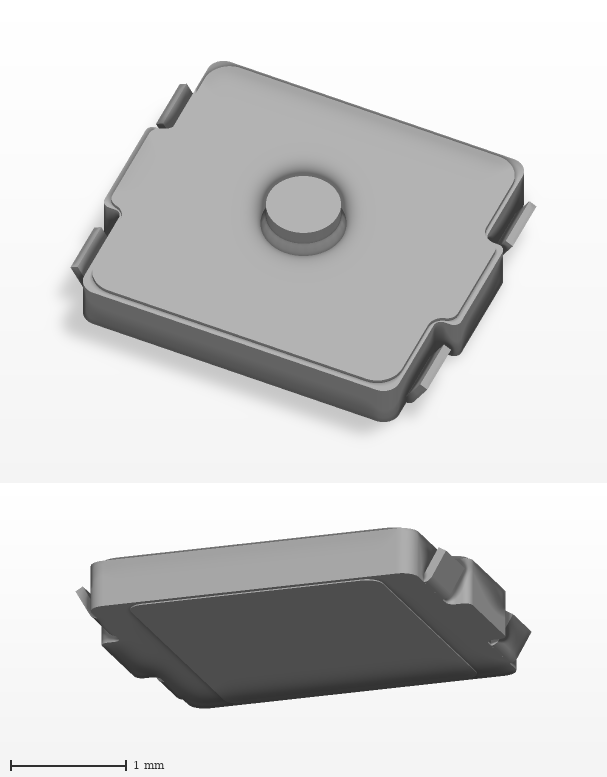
import cadquery as cq
import math

LENGTH_OVER_TABS = 3.4
HOUSING_LENGTH = 3.0
HOUSING_DEPTH = 2.9
HOUSING_HEIGHT = 0.415
HOUSING_CORNER_RADIUS = 0.15
TAB_FLAT_WIDTH = 0.865
TAB_TIP_RADIUS = 0.07
TAB_ROOT_RADIUS = 0.068
TAB_TURN = 90.0

COVER_LENGTH_OVER_TABS = 3.29
COVER_LENGTH = 2.93
COVER_DEPTH = 2.795
COVER_TOP = 0.45
COVER_CORNER_RADIUS = 0.238
COVER_TAB_FLAT_WIDTH = 0.77
COVER_TIP_RADIUS = 0.102
COVER_ROOT_RADIUS = 0.135
COVER_STEP = (COVER_LENGTH_OVER_TABS - COVER_LENGTH) / 2
COVER_TURN = math.degrees(math.acos(1 - COVER_STEP / (COVER_TIP_RADIUS + COVER_ROOT_RADIUS)))

PAD_LENGTH = 2.312
PAD_DEPTH = COVER_DEPTH
PAD_THICKNESS = 0.01
PAD_CORNER_RADIUS = 0.15

BUTTON_RADIUS = 0.325
BUTTON_BASE_RADIUS = 0.375
BUTTON_FLARE_TOP = 0.558
BUTTON_TOP = 0.7

LEAD_WIDTH = 0.5
LEAD_OFFSET = 0.9
LEAD_REACH = 1.7
LEAD_THICKNESS = 0.078
LEAD_ANGLE = 60.0
LEAD_TIP_HEIGHT = 0.27
LEAD_BEND_RADIUS = 0.095
LEAD_INNER_END = 1.36

SHORTEST_EDGE = 3.4e-05


def stepped_plate(over_tabs, length, depth, corner_radius, tab_flat, tip_radius, root_radius, turn,
                  bottom, top):
    """Rounded rectangle whose two X sides carry a central tab with S-curved flanks."""
    half_depth = depth / 2
    tab_x = over_tabs / 2
    side_x = length / 2
    flat_y = tab_flat / 2
    angle = math.radians(turn)
    tip_center_x = tab_x - tip_radius
    tip_end = (tip_center_x + tip_radius * math.cos(angle), flat_y + tip_radius * math.sin(angle))
    tip_mid = (tip_center_x + tip_radius * math.cos(angle / 2), flat_y + tip_radius * math.sin(angle / 2))

    root_center_x = side_x + root_radius
    root_start_x = root_center_x - root_radius * math.cos(angle)
    flank_run = tip_end[0] - root_start_x
    root_start_y = tip_end[1] + flank_run / math.tan(angle)
    root_end_y = root_start_y + root_radius * math.sin(angle)
    root_mid = (root_center_x - root_radius * math.cos(angle / 2),
                root_end_y - root_radius * math.sin(angle / 2))

    outline = (
        cq.Workplane("XY", origin=(0, 0, bottom))
        .lineTo(tab_x, 0)
        .lineTo(tab_x, flat_y)
        .threePointArc(tip_mid, tip_end)
    )
    if flank_run > SHORTEST_EDGE:
        outline = outline.lineTo(root_start_x, root_start_y)
    quarter = (
        outline.threePointArc(root_mid, (side_x, root_end_y))
        .lineTo(side_x, half_depth - corner_radius)
        .tangentArcPoint((side_x - corner_radius, half_depth), relative=False)
        .lineTo(0, half_depth)
        .close()
        .extrude(top - bottom)
    )
    right_half = quarter.union(quarter.mirror("XZ"))
    return right_half.union(right_half.mirror("YZ")).clean()


def lead(side, center_y):
    """Strip rising outward at a slope from a bend at the housing's underside."""
    angle = math.radians(LEAD_ANGLE)
    inner_radius = LEAD_BEND_RADIUS - LEAD_THICKNESS
    bend_height = LEAD_BEND_RADIUS * (1 - math.cos(angle))
    bend_x = LEAD_REACH - (LEAD_TIP_HEIGHT - bend_height) / math.tan(angle)
    center_x = bend_x - LEAD_BEND_RADIUS * math.sin(angle)

    def bend_point(radius, turn):
        return (center_x + radius * math.sin(turn), LEAD_BEND_RADIUS - radius * math.cos(turn))

    tip_top = (LEAD_REACH - LEAD_THICKNESS * math.sin(angle),
               LEAD_TIP_HEIGHT + LEAD_THICKNESS * math.cos(angle))
    strip = (
        cq.Workplane("XZ")
        .moveTo(LEAD_INNER_END, 0)
        .lineTo(center_x, 0)
        .threePointArc(bend_point(LEAD_BEND_RADIUS, angle / 2), bend_point(LEAD_BEND_RADIUS, angle))
        .lineTo(LEAD_REACH, LEAD_TIP_HEIGHT)
        .lineTo(*tip_top)
        .lineTo(*bend_point(inner_radius, angle))
        .threePointArc(bend_point(inner_radius, angle / 2), bend_point(inner_radius, 0))
        .lineTo(LEAD_INNER_END, LEAD_THICKNESS)
        .close()
        .extrude(LEAD_WIDTH / 2, both=True)
    )
    if side < 0:
        strip = strip.mirror("YZ")
    return strip.translate((0, center_y, 0))


def button():
    """Revolved button standing on the cover."""
    return (
        cq.Workplane("XZ")
        .moveTo(0, HOUSING_HEIGHT)
        .lineTo(BUTTON_BASE_RADIUS, HOUSING_HEIGHT)
        .lineTo(BUTTON_BASE_RADIUS, COVER_TOP)
        .lineTo(BUTTON_RADIUS, BUTTON_FLARE_TOP)
        .lineTo(BUTTON_RADIUS, BUTTON_TOP)
        .lineTo(0, BUTTON_TOP)
        .close()
        .revolve(360, (0, 0, 0), (0, 1, 0))
    )


housing = stepped_plate(
    LENGTH_OVER_TABS, HOUSING_LENGTH, HOUSING_DEPTH, HOUSING_CORNER_RADIUS,
    TAB_FLAT_WIDTH, TAB_TIP_RADIUS, TAB_ROOT_RADIUS, TAB_TURN, 0, HOUSING_HEIGHT,
)
cover = stepped_plate(
    COVER_LENGTH_OVER_TABS, COVER_LENGTH, COVER_DEPTH, COVER_CORNER_RADIUS,
    COVER_TAB_FLAT_WIDTH, COVER_TIP_RADIUS, COVER_ROOT_RADIUS, COVER_TURN, HOUSING_HEIGHT, COVER_TOP,
)
pad = (
    cq.Workplane("XY")
    .rect(PAD_LENGTH, PAD_DEPTH)
    .extrude(-PAD_THICKNESS)
    .edges("|Z")
    .fillet(PAD_CORNER_RADIUS)
)

result = housing.union(cover).union(pad).union(button())
for side in (-1, 1):
    for center_y in (-LEAD_OFFSET, LEAD_OFFSET):
        result = result.union(lead(side, center_y))